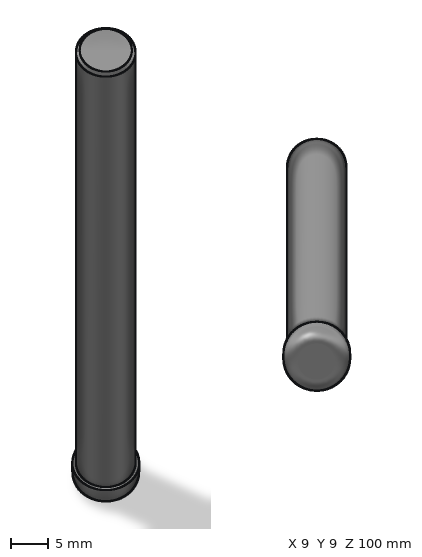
import cadquery as cq

total_length = 100.0

cap_diameter = 9.0
cap_height = 4.0
cap_round = 2.0

rod_diameter = 8.0
rod_length = total_length - cap_height
rod_chamfer = 0.5


def upright_cylinder(diameter, height, base_z):
    """Cylinder on the Z axis, standing on the height base_z."""
    return cq.Workplane("XY", origin=(0, 0, base_z)).circle(diameter / 2).extrude(height)


def make_cap():
    """Solid end cap with a rounded lower rim."""
    cap = upright_cylinder(cap_diameter, cap_height, 0)
    return cap.faces("<Z").edges().fillet(cap_round)


def make_rod():
    """Straight round rod with a chamfered top, resting on the cap."""
    rod = upright_cylinder(rod_diameter, rod_length, cap_height)
    return rod.faces(">Z").edges().chamfer(rod_chamfer)


cap = make_cap()
rod = make_rod()

result = cq.Compound.makeCompound([cap.val(), rod.val()])